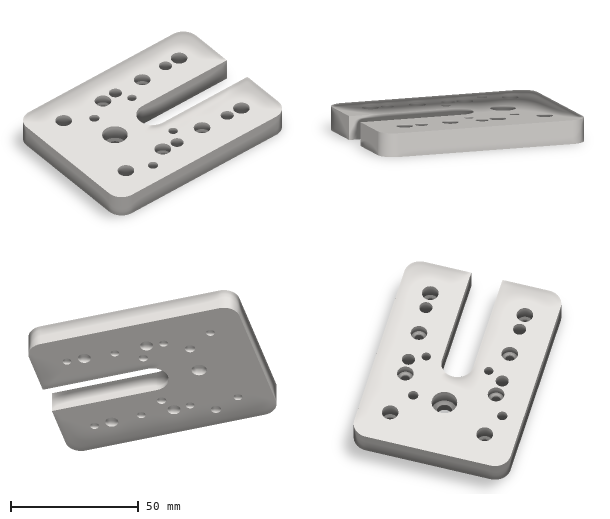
import cadquery as cq

width = 63.5
length = 85.7
thickness = 9.5
corner_radius = 6.35
slot_width = 12.7
slot_center_y = 0.0

screw_bore_diameter = 6.5
screw_hole_diameter = 3.4
screw_chamfer_diameter = 4.0
outer_screw_x = 19.2
outer_screw_y = 29.2
outer_screw_bore_depth = 6.0
inner_screw_x = 18.4
inner_screw_y = 9.95
inner_screw_bore_depth = 3.5

center_hole_y = -19.0
center_hole_diameter = 6.0
center_bore_diameter = 10.0
center_bore_depth = 6.0

large_hole_diameter = 5.15
large_hole_x = 19.0
large_hole_ys = (22.2, -3.2)
slot_side_hole_diameter = 3.7
slot_side_hole_x = 12.7
front_hole_diameter = 4.0
front_hole_xs = (-12.7, 23.5)


def cylinder(diameter, bottom, top):
    """Upright cylinder on the Z axis between two heights."""
    return cq.Workplane("XY").workplane(offset=bottom).circle(diameter / 2).extrude(top - bottom)


def drill(body, points, cutter):
    """Cut a copy of the cutter at each XY point."""
    for x, y in points:
        body = body.cut(cutter.translate((x, y, 0)))
    return body


def mirrored(x, y):
    """Four points mirrored about both plate centre lines."""
    return [(sx * x, sy * y) for sx in (-1, 1) for sy in (-1, 1)]


def screw_cutter(bore_depth):
    """Counterbore and screw hole with a 45 degree chamfer where they meet."""
    floor = thickness - bore_depth
    chamfer_depth = (screw_chamfer_diameter - screw_hole_diameter) / 2
    bore = cylinder(screw_bore_diameter, floor, thickness)
    hole = cylinder(screw_hole_diameter, 0, thickness)
    chamfer = (
        cq.Workplane("XY")
        .workplane(offset=floor - chamfer_depth)
        .circle(screw_hole_diameter / 2)
        .workplane(offset=chamfer_depth)
        .circle(screw_chamfer_diameter / 2)
        .loft(ruled=True)
    )
    return bore.union(hole).union(chamfer)


def through_cutter(diameter):
    """Plain hole through the full plate thickness."""
    return cylinder(diameter, 0, thickness)


def make_plate():
    """Rounded rectangular plate with the slot removed."""
    plate = cq.Workplane("XY").box(width, length, thickness, centered=(True, True, False))
    plate = plate.edges("|Z").fillet(corner_radius)
    slot_length = length / 2 - slot_center_y
    slot = (
        cq.Workplane("XY")
        .center(0, slot_center_y + slot_length / 2)
        .rect(slot_width, slot_length)
        .extrude(thickness)
    )
    slot_end = cylinder(slot_width, 0, thickness).translate((0, slot_center_y, 0))
    return plate.cut(slot).cut(slot_end)


result = make_plate()

result = drill(result, mirrored(outer_screw_x, outer_screw_y), screw_cutter(outer_screw_bore_depth))
result = drill(result, mirrored(inner_screw_x, inner_screw_y), screw_cutter(inner_screw_bore_depth))

center_bore = cylinder(center_bore_diameter, thickness - center_bore_depth, thickness)
center_cutter = center_bore.union(through_cutter(center_hole_diameter))
result = drill(result, [(0, center_hole_y)], center_cutter)

large_points = [(side * large_hole_x, y) for side in (-1, 1) for y in large_hole_ys]
result = drill(result, large_points, through_cutter(large_hole_diameter))

slot_side_points = [(side * slot_side_hole_x, slot_center_y) for side in (-1, 1)]
result = drill(result, slot_side_points, through_cutter(slot_side_hole_diameter))

front_points = [(x, center_hole_y) for x in front_hole_xs]
result = drill(result, front_points, through_cutter(front_hole_diameter))